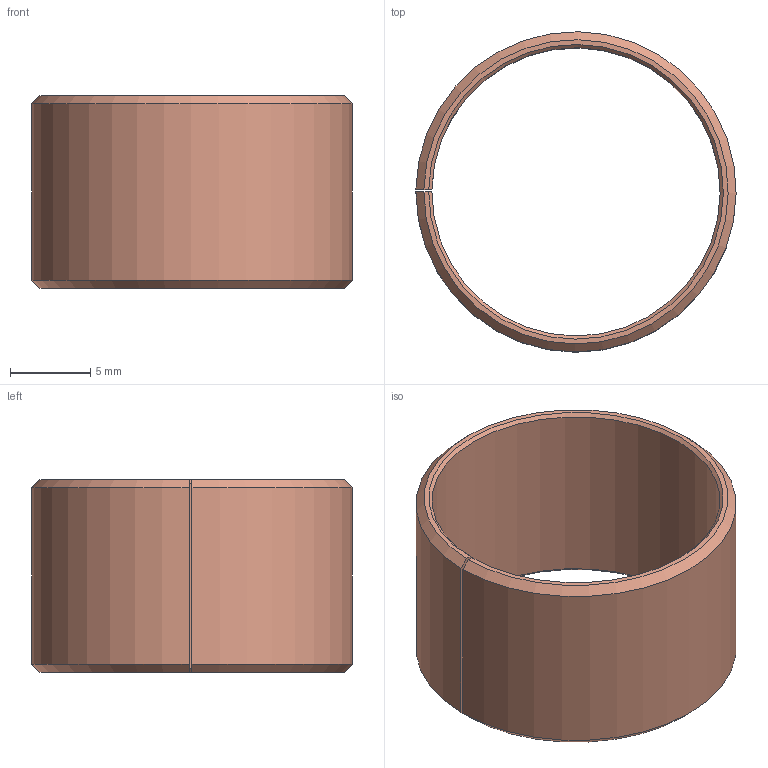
import cadquery as cq

outer_diameter = 20.0
wall = 1.0
length = 12.0
outer_chamfer = 0.5
inner_chamfer = 0.2
slit_angle = 1.0

outer_radius = outer_diameter / 2
inner_radius = outer_radius - wall


def wall_section():
    """Wall cross-section on the -X side, chamfered at all four corners."""
    corners = [
        (-inner_radius - inner_chamfer, 0),
        (-outer_radius + outer_chamfer, 0),
        (-outer_radius, outer_chamfer),
        (-outer_radius, length - outer_chamfer),
        (-outer_radius + outer_chamfer, length),
        (-inner_radius - inner_chamfer, length),
        (-inner_radius, length - inner_chamfer),
        (-inner_radius, inner_chamfer),
    ]
    return cq.Workplane("XZ").polyline(corners).close()


def split_sleeve():
    """Sweep the wall around Z, one slit angle short of a full turn, leaving a radial slit at -X."""
    return wall_section().revolve(360 - slit_angle, (0, 0, 0), (0, 1, 0))


result = split_sleeve()